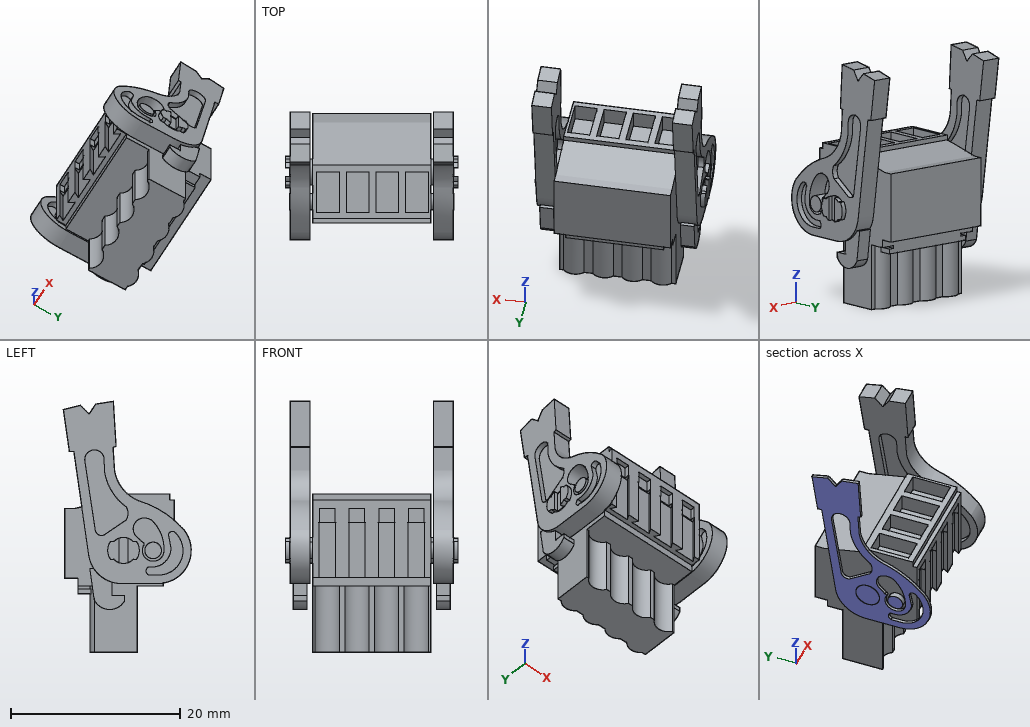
import cadquery as cq
import math


pole_count = 4
pitch = 3.5
housing_width = 13.97
side_face_x = housing_width / 2
pole_xs = [(i - (pole_count - 1) / 2) * pitch for i in range(pole_count)]

rear_y = 6.95
rear_top_z = 17.0
rear_ledge_depth = 1.13
rear_slope_angle = 12.9
tower_rear_y = 0.83
top_z = 18.72
tower_front_y = -5.5
shoulder_z = 18.0
front_y = -6.02
skirt_bottom_z = 8.85
block_front_y = -4.72
block_bottom_z = 7.83
rear_step_y = 5.4
rear_bottom_z = 8.75

plug_front_y = -1.63
plug_rear_y = 3.45
groove_width = 2.85
groove_depth = 0.8
bulge_width = 2.45
bulge_height = 0.53

catch_neck_z = 7.5
catch_bottom_z = 6.9
catch_neck_inset = 1.75
catch_inset = 1.1

opening_width = 2.67
opening_offset_x = 0.1
opening_rear_y = 0.0
opening_front_y = -4.78
opening_depth = 2.05
contact_height = 5.93
contact_top_z = top_z - opening_depth

window_width = 1.85
window_depth = 0.6
window_top_z = 16.97
slot_mouth_width = 1.93
slot_depth = 0.7
slot_flare_angle = 30
slot_top_z = 15.33

pivot_z = 12.05
post_radius = 1.55
post_end_x = 10.2
lug_radius = 1.87
lug_half_height = 1.07
post_slot_width = 1.0
guide_y = -pitch
guide_radius = 0.98
guide_end_x = 9.73

lever_inner_x = 7.27
lever_thickness = 2.37
lever_outer_x = lever_inner_x + lever_thickness
lever_mid_x = (lever_inner_x + lever_outer_x) / 2
pocket_depth = 0.7
hook_thickness = 1.65
hook_root_z = 9.9
lobe_radius = 3.92
lobe_front_y = -4.1
lobe_rear_y = 0.25
lobe_bottom_z = pivot_z - lobe_radius
arm_top = (5.87, 23.7)
arm_bottom = (3.47, 6.23)


def box(x0, x1, y0, y1, z0, z1):
    """Block between two opposite corners."""
    return cq.Workplane("XY").box(x1 - x0, y1 - y0, z1 - z0, centered=False).translate((x0, y0, z0))


def side_plane(x):
    """Sketch plane whose axes are the part's Y and Z, facing +X."""
    return cq.Workplane("YZ", origin=(x, 0, 0))


def housing_block():
    slope_run = rear_y - rear_ledge_depth - tower_rear_y
    slope_top_z = rear_top_z + slope_run * math.tan(math.radians(rear_slope_angle))
    outline = [
        (rear_y, rear_bottom_z),
        (rear_y, rear_top_z),
        (rear_y - rear_ledge_depth, rear_top_z),
        (tower_rear_y, slope_top_z),
        (tower_rear_y, top_z),
        (tower_front_y, top_z),
        (tower_front_y, shoulder_z),
        (front_y, shoulder_z),
        (front_y, skirt_bottom_z),
        (block_front_y, skirt_bottom_z),
        (block_front_y, block_bottom_z),
        (rear_step_y, block_bottom_z),
        (rear_step_y, rear_bottom_z),
    ]
    return side_plane(-side_face_x).polyline(outline).close().extrude(housing_width)


def plug_section():
    half_groove = groove_width / 2
    half_bulge = bulge_width / 2
    sketch = cq.Workplane("XY").moveTo(-side_face_x, plug_front_y)
    for x in pole_xs:
        sketch = sketch.lineTo(x - half_groove, plug_front_y).threePointArc(
            (x, plug_front_y + groove_depth), (x + half_groove, plug_front_y)
        )
    sketch = sketch.lineTo(side_face_x, plug_front_y).lineTo(side_face_x, plug_rear_y)
    for x in reversed(pole_xs):
        sketch = sketch.lineTo(x + half_bulge, plug_rear_y).threePointArc(
            (x, plug_rear_y + bulge_height), (x - half_bulge, plug_rear_y)
        )
    return sketch.lineTo(-side_face_x, plug_rear_y).close().extrude(block_bottom_z)


def catch_bar():
    neck_x = side_face_x - catch_neck_inset
    bar_x = side_face_x - catch_inset
    neck = box(-neck_x, neck_x, plug_rear_y, rear_step_y, catch_neck_z, block_bottom_z)
    bar = box(-bar_x, bar_x, plug_rear_y, rear_step_y, catch_bottom_z, catch_neck_z)
    return neck.union(bar)


def opening_block(pole_x, bottom_z, upper_z):
    """Block with the outline of a top opening."""
    x = pole_x + opening_offset_x
    half = opening_width / 2
    return box(x - half, x + half, opening_front_y, opening_rear_y, bottom_z, upper_z)


def opening_and_contact_seat(pole_x):
    return opening_block(pole_x, contact_top_z - contact_height, top_z)


def front_window(pole_x):
    half = window_width / 2
    return box(pole_x - half, pole_x + half, front_y, front_y + window_depth, slot_top_z, window_top_z)


def dovetail_slot(pole_x):
    """Slot that widens inwards and is open at its lower end."""
    mouth_half = slot_mouth_width / 2
    floor_half = mouth_half + slot_depth * math.tan(math.radians(slot_flare_angle))
    floor_y = front_y + slot_depth
    outline = [(-mouth_half, front_y), (mouth_half, front_y), (floor_half, floor_y), (-floor_half, floor_y)]
    sketch = cq.Workplane("XY", origin=(pole_x, 0, skirt_bottom_z)).polyline(outline).close()
    return sketch.extrude(slot_top_z - skirt_bottom_z)


def pivot_post():
    """Slotted snap post on the +X side, with lugs that hold the lever."""
    post = side_plane(side_face_x).center(0, pivot_z).circle(post_radius).extrude(post_end_x - side_face_x)
    lugs = side_plane(lever_outer_x).center(0, pivot_z).circle(lug_radius).extrude(post_end_x - lever_outer_x)
    lugs = lugs.intersect(
        box(
            lever_outer_x, post_end_x, -lug_radius, lug_radius,
            pivot_z - lug_half_height, pivot_z + lug_half_height,
        )
    )
    slot = box(
        guide_end_x, post_end_x, -post_slot_width / 2, post_slot_width / 2,
        pivot_z - lug_radius, pivot_z + lug_radius,
    )
    return post.union(lugs).cut(slot)


def guide_pin():
    pin = side_plane(side_face_x).center(guide_y, pivot_z).circle(guide_radius)
    return pin.extrude(guide_end_x - side_face_x)


def make_housing():
    housing = housing_block().union(plug_section()).union(catch_bar())
    for x in pole_xs:
        housing = housing.cut(opening_and_contact_seat(x)).cut(front_window(x)).cut(dovetail_slot(x))
    side_parts = pivot_post().union(guide_pin())
    return housing.union(side_parts).union(side_parts.mirror("YZ"))


def make_contact(pole_x):
    """Contact block that fills the lower part of an opening."""
    return opening_block(pole_x, contact_top_z - contact_height, contact_top_z)


def lever_plate():
    edge_angle = math.atan2(arm_top[0] - arm_bottom[0], arm_top[1] - arm_bottom[1])
    diagonal = math.sqrt(0.5) * lobe_radius
    tangent_point = (
        lobe_rear_y + lobe_radius * math.cos(edge_angle),
        pivot_z - lobe_radius * math.sin(edge_angle),
    )
    front_angle = math.radians(38)
    front_lobe_start = (
        lobe_front_y - lobe_radius * math.cos(front_angle),
        pivot_z + lobe_radius * math.sin(front_angle),
    )
    return (
        side_plane(lever_inner_x)
        .moveTo(*arm_top)
        .lineTo(6.4, 23.73)
        .lineTo(7.12, 28.68)
        .lineTo(5.1, 29.2)
        .lineTo(4.05, 28.15)
        .lineTo(3.3, 29.33)
        .lineTo(1.2, 29.65)
        .lineTo(0.85, 24.32)
        .lineTo(1.22, 24.2)
        .lineTo(1.05, 21.45)
        .threePointArc((0.18, 19.43), (-1.85, 17.88))
        .threePointArc((-4.6, 16.65), (-7.0, 14.62))
        .lineTo(*front_lobe_start)
        .threePointArc((lobe_front_y - diagonal, pivot_z - diagonal), (lobe_front_y, lobe_bottom_z))
        .lineTo(lobe_rear_y, lobe_bottom_z)
        .threePointArc((lobe_rear_y + diagonal, pivot_z - diagonal), tangent_point)
        .close()
        .extrude(lever_thickness)
    )


def lever_hook():
    """Latching hook under the lever, thinner than the plate and in its middle."""
    edge_run = (arm_top[0] - arm_bottom[0]) / (arm_top[1] - arm_bottom[1])
    return (
        side_plane(lever_mid_x - hook_thickness / 2)
        .moveTo(arm_bottom[0] + edge_run * (hook_root_z - arm_bottom[1]), hook_root_z)
        .lineTo(*arm_bottom)
        .threePointArc((1.87, 5.07), (-0.12, 6.08))
        .lineTo(-0.12, 6.7)
        .lineTo(1.33, 6.7)
        .lineTo(1.42, hook_root_z)
        .close()
        .extrude(hook_thickness)
    )


def arm_pocket(x):
    """Tapered pocket along the arm."""
    return (
        side_plane(x)
        .moveTo(4.57, 22.6)
        .threePointArc((3.45, 23.9), (2.3, 23.02))
        .lineTo(2.22, 21.25)
        .threePointArc((1.4, 19.05), (-0.33, 17.17))
        .threePointArc((-0.53, 16.35), (-0.27, 15.6))
        .lineTo(2.3, 13.85)
        .threePointArc((3.03, 13.95), (3.35, 14.55))
        .close()
        .extrude(pocket_depth)
    )


def curved_pocket(x):
    """Bent groove around the guide pin."""
    return (
        side_plane(x)
        .moveTo(-5.3, 13.88)
        .lineTo(-5.6, 12.37)
        .threePointArc((-5.0, 10.8), (-3.55, 10.08))
        .lineTo(-2.95, 10.08)
        .threePointArc((-2.67, 9.65), (-3.0, 9.15))
        .lineTo(-4.33, 9.15)
        .threePointArc((-6.35, 10.15), (-7.03, 11.98))
        .threePointArc((-6.75, 13.23), (-6.05, 14.2))
        .threePointArc((-5.55, 14.25), (-5.3, 13.88))
        .close()
        .extrude(pocket_depth)
    )


def guide_hole():
    """Through hole for the guide pin, with a nub that holds the pin at its lower end."""
    return (
        side_plane(lever_inner_x)
        .moveTo(-1.5, 13.7)
        .threePointArc((-1.45, 15.42), (-2.5, 15.87))
        .threePointArc((-3.0, 15.78), (-3.4, 15.55))
        .threePointArc((-4.33, 14.25), (-4.78, 12.15))
        .threePointArc((guide_y, 10.77), (-2.28, 12.43))
        .lineTo(-2.35, 12.58)
        .threePointArc((-2.43, 12.8), (-2.22, 13.02))
        .lineTo(-1.8, 13.45)
        .close()
        .extrude(lever_thickness)
    )


def make_lever():
    """Lever on the +X side; its pockets are in both faces."""
    lever = lever_plate().union(lever_hook())
    for x in (lever_inner_x, lever_outer_x - pocket_depth):
        lever = lever.cut(arm_pocket(x)).cut(curved_pocket(x))
    pivot_hole = side_plane(lever_inner_x).center(0, pivot_z).circle(post_radius).extrude(lever_thickness)
    return lever.cut(pivot_hole).cut(guide_hole())


housing = make_housing()
contacts = [make_contact(x) for x in pole_xs]
right_lever = make_lever()
levers = [right_lever, right_lever.mirror("YZ")]

result = cq.Compound.makeCompound(
    [housing.val()] + [contact.val() for contact in contacts] + [lever.val() for lever in levers]
)